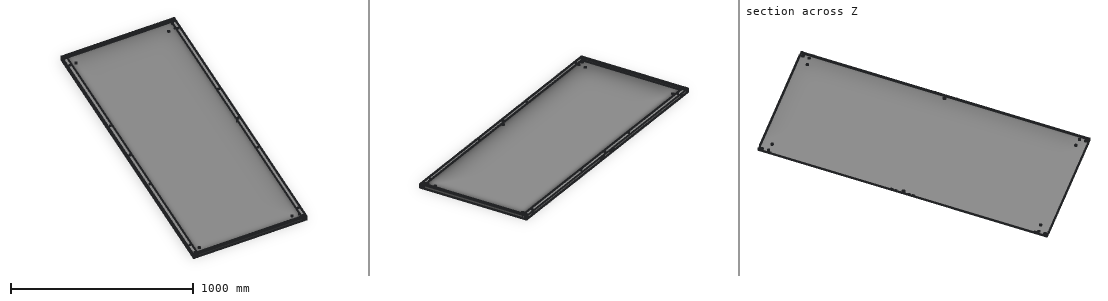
import cadquery as cq

height = 25.0
width = 686.0
sheet = 2.5
inner_bend_radius = 0.01
outer_bend_radius = sheet + inner_bend_radius
rail_length = 1680.0
end_flange_overhang = 1.51
total_length = rail_length + 2 * end_flange_overhang

rail_lip = 26.0
end_lip = 13.5
end_flange_length = width - 2 * rail_lip

corner_hole_diameter = 10.0
corner_hole_x = 824.0
corner_hole_y = 327.0

lip_hole_diameter = 5.0
lip_hole_xs = (248.0, 760.0)
lip_hole_y = 328.0

middle_hole_y = 327.0
middle_lip_hole_diameter = 8.0
middle_panel_hole_diameter = 12.0

open_panel_hole = (781.5, 281.0, 9.0)
covered_panel_hole = (787.0, 324.0, 8.0)

web_holes = (
    (38.0, 8.0),
    (63.0, 8.0),
    (773.0, 11.0),
    (831.0, 5.0),
)


def folded_channel(span, lip, length):
    """Closed-bottom channel with inward lips, across X and running along Y."""
    outside = cq.Workplane("XY").box(span, length, height)
    outside = outside.edges("|Y").fillet(outer_bend_radius)
    inside = cq.Workplane("XY").box(span - 2 * sheet, length, height - 2 * sheet)
    inside = inside.edges("|Y").fillet(inner_bend_radius)
    opening = cq.Workplane("XY").box(span - 2 * lip, length, height / 2)
    opening = opening.translate((0, 0, height / 4))
    return outside.cut(inside).cut(opening).translate((0, 0, height / 2))


def four_corners(x, y):
    """The point and its mirror images about the X and Y axes."""
    return [(x_side * x, y_side * y) for x_side in (-1, 1) for y_side in (-1, 1)]


def lip_cutter(points, diameter):
    """Upright pins that reach only the rail lips."""
    pins = cq.Workplane("XY").workplane(offset=height / 2).pushPoints(points)
    return pins.circle(diameter / 2).extrude(height / 2)


def panel_cutter(points, diameter):
    """Upright pins that reach only the panel."""
    return cq.Workplane("XY").pushPoints(points).circle(diameter / 2).extrude(height / 2)


def web_cutter(x, diameter):
    """A pair of pins along Y through both rail webs."""
    pins = cq.Workplane("XZ").pushPoints([(-x, height / 2), (x, height / 2)])
    return pins.circle(diameter / 2).extrude(width / 2, both=True)


rails = folded_channel(width, rail_lip, rail_length).rotate((0, 0, 0), (0, 0, 1), 90)
end_flanges = folded_channel(total_length, end_lip, end_flange_length)
tray = rails.union(end_flanges)

corner_points = four_corners(corner_hole_x, corner_hole_y)
tray = tray.cut(lip_cutter(corner_points, corner_hole_diameter))
tray = tray.cut(panel_cutter(corner_points, corner_hole_diameter))

for lip_hole_x in lip_hole_xs:
    tray = tray.cut(lip_cutter(four_corners(lip_hole_x, lip_hole_y), lip_hole_diameter))

middle_points = [(0, -middle_hole_y), (0, middle_hole_y)]
tray = tray.cut(lip_cutter(middle_points, middle_lip_hole_diameter))
tray = tray.cut(panel_cutter(middle_points, middle_panel_hole_diameter))

for hole_x, hole_y, hole_diameter in (open_panel_hole, covered_panel_hole):
    tray = tray.cut(panel_cutter(four_corners(hole_x, hole_y), hole_diameter))

for hole_x, hole_diameter in web_holes:
    tray = tray.cut(web_cutter(hole_x, hole_diameter))

result = tray